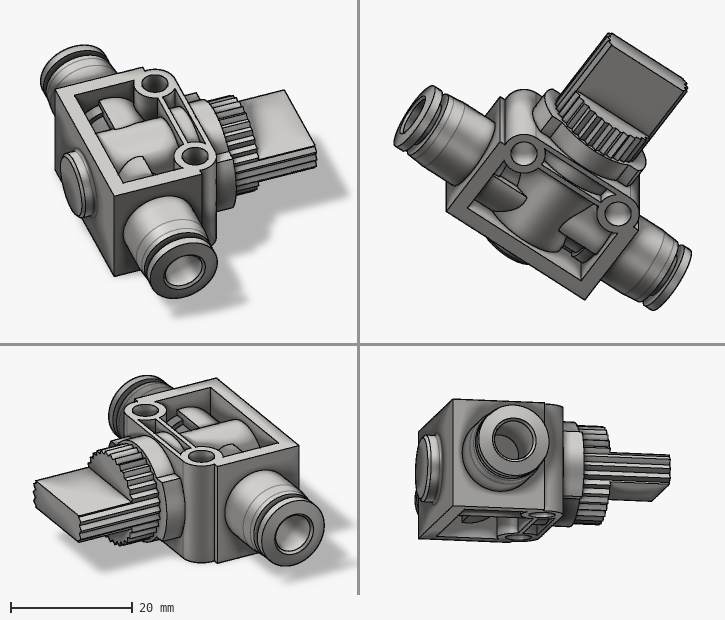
import cadquery as cq
import math


body_width = 28.0
body_height = 18.0
body_front = -7.8
body_shoulder = 7.65
body_back = 11.65
mount_x = 9.5
mount_y = 8.15
mount_hole_radius = 2.15
mount_radius = body_back - mount_y

side_wall = 2.5
back_wall = 0.85
web_thickness = 0.85
divider_front = 7.35
divider_back = divider_front + web_thickness
pocket_width = body_width - 2 * side_wall
pocket_front = body_front + side_wall
window_back = body_back - back_wall

barrel_radius = 7.5
barrel_head_radius = 8.5
half_tube_radius = 6.5
half_tube_overlap = 1.0
inner_tube_radius = 4.7
collar_radius = 5.5
collar_end = 9.5

port_end = 26.25
tube_radius = 6.25
taper_start = 20.15
taper_middle = 22.2
taper_middle_radius = 6.05
tube_end = 23.2
ring_radius = 5.95
ring_start = 24.4
ring_edge = 25.9
neck_radius = 3.9
bore_radius = 3.25
bore_mouth_radius = 3.7
bore_depth = port_end - body_width / 2

plug_radius = 5.5
plug_end = -10.2
plug_edge = 0.45

flange_radius = 8.65
wing_radius = 10.25
wing_height = 10.9
flange_end = 15.1
knurl_end = 20.1
blade_end = 30.15
blade_thickness = 4.95
knurl_tip_radius = 8.15
knurl_root_radius = 7.5
tooth_count = 32


def block(x_range, y_range, height):
    """Box between two X and two Y limits, centred on mid height."""
    x_size = x_range[1] - x_range[0]
    y_size = y_range[1] - y_range[0]
    box = cq.Workplane("XY").box(x_size, y_size, height)
    return box.translate((sum(x_range) / 2, sum(y_range) / 2, 0))


def rod_along_x(radius, start, end):
    return cq.Workplane("YZ", origin=(start, 0, 0)).circle(radius).extrude(end - start)


def rod_along_y(radius, start, end):
    return cq.Workplane("XZ", origin=(0, start, 0)).circle(radius).extrude(start - end)


def mount_rods(radius):
    """A pair of vertical rods at the mounting holes, over the full body height."""
    plane = cq.Workplane("XY", origin=(0, 0, -body_height / 2))
    centres = [(-mount_x, mount_y), (mount_x, mount_y)]
    return plane.pushPoints(centres).circle(radius).extrude(body_height)


def both_ends(left_part):
    """A part of the left port together with its half-turn copy at the right port."""
    return left_part.union(left_part.rotate((0, 0, 0), (0, 0, 1), 180))


def make_frame():
    half_width = body_width / 2
    half_pocket = pocket_width / 2
    frame = block((-half_width, half_width), (body_front, body_shoulder), body_height)
    frame = frame.union(block((-mount_x, mount_x), (body_shoulder, body_back), body_height))
    pocket = block((-half_pocket, half_pocket), (pocket_front, divider_front), body_height)
    window = block((-mount_x, mount_x), (divider_back, window_back), body_height)
    web = block((-half_width, half_width), (body_front, body_shoulder), web_thickness)
    window_web = block((-mount_x, mount_x), (divider_back, body_back), web_thickness)
    frame = frame.cut(pocket).cut(window).union(web).union(window_web)
    return frame.union(mount_rods(mount_radius))


def make_inner_tubes():
    """Each port tube is thick on one side only and steps down on the other."""
    outer = body_width / 2
    kept_side = block((-outer, 0), (-half_tube_overlap, half_tube_radius), body_height)
    half_tube = rod_along_x(half_tube_radius, -outer, 0).intersect(kept_side)
    collar = rod_along_x(collar_radius, -outer, -collar_end)
    inner_tube = rod_along_x(inner_tube_radius, -outer, 0)
    return both_ends(half_tube.union(collar).union(inner_tube))


def make_barrel():
    barrel = rod_along_y(barrel_radius, body_front, divider_back)
    return barrel.union(rod_along_y(barrel_head_radius, divider_front, body_back))


def port_profile():
    """Half section of the left port, with the distance from the port axis along Y."""
    return (
        cq.Workplane("XY")
        .moveTo(-body_width / 2, 0)
        .lineTo(-body_width / 2, tube_radius)
        .lineTo(-taper_start, tube_radius)
        .lineTo(-taper_middle, taper_middle_radius)
        .lineTo(-tube_end, ring_radius)
        .lineTo(-tube_end, neck_radius)
        .lineTo(-ring_start, neck_radius)
        .lineTo(-ring_start, ring_radius)
        .lineTo(-ring_edge, ring_radius)
        .lineTo(-port_end, bore_mouth_radius)
        .lineTo(-port_end + bore_mouth_radius - bore_radius, bore_radius)
        .lineTo(-port_end + bore_depth, bore_radius)
        .lineTo(-port_end + bore_depth, 0)
        .close()
    )


def make_ports():
    return both_ends(port_profile().revolve(360, (0, 0, 0), (1, 0, 0)))


def make_plug():
    """Plug with a concave fillet at the body and a chamfered outer end."""
    profile = (
        cq.Workplane("XY")
        .moveTo(0, body_front)
        .lineTo(plug_radius + plug_edge, body_front)
        .radiusArc((plug_radius, body_front - plug_edge), -plug_edge)
        .lineTo(plug_radius, plug_end + plug_edge)
        .lineTo(plug_radius - plug_edge, plug_end)
        .lineTo(0, plug_end)
        .close()
    )
    return profile.revolve(360, (0, 0, 0), (0, 1, 0))


def make_flange():
    wings = rod_along_y(wing_radius, body_back, flange_end)
    wings = wings.intersect(block((-wing_radius, wing_radius), (body_back, flange_end), wing_height))
    return rod_along_y(flange_radius, body_back, flange_end).union(wings)


def make_knob():
    """Knurled rod whose outer length is flattened into a blade."""
    points = []
    for step in range(2 * tooth_count):
        angle = math.pi * step / tooth_count
        radius = knurl_tip_radius if step % 2 == 0 else knurl_root_radius
        points.append((radius * math.cos(angle), radius * math.sin(angle)))
    plane = cq.Workplane("XZ", origin=(0, flange_end, 0))
    knob = plane.polyline(points).close().extrude(flange_end - blade_end)
    x_range = (-knurl_tip_radius, knurl_tip_radius)
    base = block(x_range, (flange_end, knurl_end), 2 * knurl_tip_radius)
    blade = block(x_range, (flange_end, blade_end), blade_thickness)
    return knob.intersect(base.union(blade))


result = make_frame().union(make_barrel()).union(make_inner_tubes())
result = result.cut(mount_rods(mount_hole_radius))
for outside_part in (make_ports(), make_plug(), make_flange(), make_knob()):
    result = result.union(outside_part)